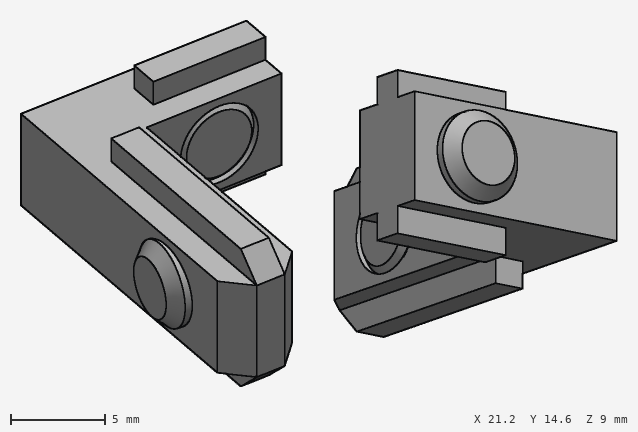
import cadquery as cq
import math

LONG_ARM = 20.0
SHORT_ARM = 13.5
RIB_WIDTH = 1.8
RIB_HEIGHT = 1.5
RIB_INSET = 1.5
TOTAL_HEIGHT = 9.0
LONG_RIB_START = 6.3
SHORT_RIB_LENGTH = 7.23

ARM_WIDTH = RIB_WIDTH + 2 * RIB_INSET
BODY_HEIGHT = TOTAL_HEIGHT - 2 * RIB_HEIGHT

SCREW_RADIUS = 2.5
SCREW_LENGTH = 6.0
HEAD_CHAMFER = 0.75
TIP_CHAMFER = 0.4

SHORT_ARM_SCREW_TO_END = 4.0
SHORT_ARM_SCREW_PROTRUSION = 1.2
SHORT_ARM_SCREW_HEAD = (-SHORT_ARM_SCREW_PROTRUSION, SHORT_ARM - SHORT_ARM_SCREW_TO_END, 0)
LONG_ARM_SCREW_HEAD = (13.53, -0.95, 0)
LONG_ARM_SCREW_TILT = 5.0
tilt = math.radians(LONG_ARM_SCREW_TILT)
SCREW_PLACES = [
    cq.Plane(origin=SHORT_ARM_SCREW_HEAD, xDir=(0, 0, 1), normal=(1, 0, 0)),
    cq.Plane(origin=LONG_ARM_SCREW_HEAD, xDir=(0, 0, 1), normal=(math.sin(tilt), math.cos(tilt), 0)),
]


def make_body():
    """L-shaped body whose long arm narrows to the rib width at its end."""
    outline = [
        (0, 0),
        (LONG_ARM - RIB_INSET, 0),
        (LONG_ARM, RIB_INSET),
        (LONG_ARM, RIB_INSET + RIB_WIDTH),
        (LONG_ARM - RIB_INSET, ARM_WIDTH),
        (ARM_WIDTH, ARM_WIDTH),
        (ARM_WIDTH, SHORT_ARM),
        (0, SHORT_ARM),
    ]
    return cq.Workplane("XY").polyline(outline).close().extrude(BODY_HEIGHT / 2, both=True)


def make_long_ribs():
    """Bar through the long arm, forming its upper and lower ribs with sloped ends."""
    length = LONG_ARM - LONG_RIB_START
    bar = cq.Workplane("XY").box(length, RIB_WIDTH, TOTAL_HEIGHT, centered=(False, False, True))
    return bar.edges(">X and |Y").chamfer(RIB_HEIGHT).translate((LONG_RIB_START, RIB_INSET, 0))


def make_short_ribs():
    """Bar through the short arm, forming its upper and lower ribs."""
    bar = cq.Workplane("XY").box(RIB_WIDTH, SHORT_RIB_LENGTH, TOTAL_HEIGHT, centered=(False, False, True))
    return bar.translate((RIB_INSET, SHORT_ARM - SHORT_RIB_LENGTH, 0))


def make_screw_hole(place):
    """Cylinder that cuts the plain hole of a screw right through its arm."""
    hole_length = SCREW_LENGTH + SCREW_RADIUS
    return cq.Workplane(place).circle(SCREW_RADIUS).extrude(hole_length)


def make_bracket():
    bracket = make_body().union(make_long_ribs()).union(make_short_ribs())
    for place in SCREW_PLACES:
        bracket = bracket.cut(make_screw_hole(place))
    return bracket


def make_screw(place):
    """Headless screw with a wide chamfer at its head and a narrow one at its tip."""
    head_end = cq.selectors.DirectionMinMaxSelector(place.zDir, directionMax=False)
    tip_end = cq.selectors.DirectionMinMaxSelector(place.zDir, directionMax=True)
    screw = cq.Workplane(place).circle(SCREW_RADIUS).extrude(SCREW_LENGTH)
    screw = screw.faces(head_end).chamfer(HEAD_CHAMFER)
    return screw.faces(tip_end).chamfer(TIP_CHAMFER)


bracket = make_bracket()
screws = [make_screw(place) for place in SCREW_PLACES]

result = cq.Compound.makeCompound([bracket.val(), *[screw.val() for screw in screws]])